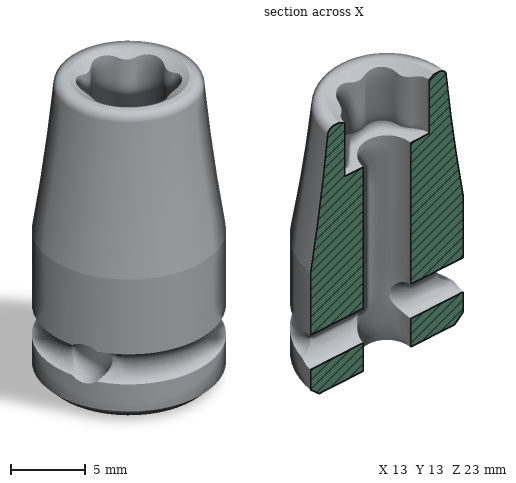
import cadquery as cq
import math

HEIGHT = 23.0
BODY_RADIUS = 6.498
TAPER_START_Z = 11.05
TAPER_END_Z = 22.35
NOSE_RADIUS = 5.05
TAPER_HOLLOW = 0.1
NOSE_FACE_RADIUS = 4.4
BASE_CHAMFER = 0.74

GROOVE_Z = 4.02
GROOVE_HALF_WIDTH = 1.17
GROOVE_DEPTH = 1.01
CROSS_HOLE_RADIUS = 1.5

LOBES = 6
LOBE_TIP_RADIUS = 3.56
VALLEY_RADIUS = 3.08
LOBE_ARC_RADIUS = 1.4
SOCKET_DEPTH = 5.0
MOUTH_RADIUS = 4.05
MOUTH_CONE_ANGLE = 30.0
BORE_RADIUS = 2.0


def polar(radius, degrees):
    angle = math.radians(degrees)
    return (radius * math.cos(angle), radius * math.sin(angle))


def make_body():
    nose_drop = HEIGHT - TAPER_END_Z
    nose_mid = (
        NOSE_FACE_RADIUS + (NOSE_RADIUS - NOSE_FACE_RADIUS) * math.sin(math.pi / 4),
        TAPER_END_Z + nose_drop * math.cos(math.pi / 4),
    )
    taper_mid = (
        (BODY_RADIUS + NOSE_RADIUS) / 2 - TAPER_HOLLOW,
        (TAPER_START_Z + TAPER_END_Z) / 2,
    )
    profile = (
        cq.Workplane("XZ")
        .moveTo(0, 0)
        .lineTo(BODY_RADIUS - BASE_CHAMFER, 0)
        .lineTo(BODY_RADIUS, BASE_CHAMFER)
        .lineTo(BODY_RADIUS, GROOVE_Z - GROOVE_HALF_WIDTH)
        .threePointArc(
            (BODY_RADIUS - GROOVE_DEPTH, GROOVE_Z),
            (BODY_RADIUS, GROOVE_Z + GROOVE_HALF_WIDTH),
        )
        .lineTo(BODY_RADIUS, TAPER_START_Z)
        .threePointArc(taper_mid, (NOSE_RADIUS, TAPER_END_Z))
        .threePointArc(nose_mid, (NOSE_FACE_RADIUS, HEIGHT))
        .lineTo(0, HEIGHT)
        .close()
    )
    return profile.revolve(360, (0, 0, 0), (0, 1, 0))


def make_socket():
    """Tangent lobe and valley arcs alternate around the socket."""
    half_pitch = 180 / LOBES
    lobe_center = LOBE_TIP_RADIUS - LOBE_ARC_RADIUS
    cosine = math.cos(math.radians(half_pitch))
    valley_arc_radius = (
        lobe_center**2 + VALLEY_RADIUS**2 - 2 * lobe_center * VALLEY_RADIUS * cosine - LOBE_ARC_RADIUS**2
    ) / (2 * (LOBE_ARC_RADIUS - VALLEY_RADIUS + lobe_center * cosine))
    valley_center = VALLEY_RADIUS + valley_arc_radius

    share = LOBE_ARC_RADIUS / (LOBE_ARC_RADIUS + valley_arc_radius)
    valley_x, valley_y = polar(valley_center, half_pitch)
    tangent_x = lobe_center + share * (valley_x - lobe_center)
    tangent_y = share * valley_y
    tangent_radius = math.hypot(tangent_x, tangent_y)
    tangent_angle = math.degrees(math.atan2(tangent_y, tangent_x))

    first_lobe = 90
    outline = cq.Workplane("XY", origin=(0, 0, HEIGHT - SOCKET_DEPTH))
    outline = outline.moveTo(*polar(tangent_radius, first_lobe - tangent_angle))
    for index in range(LOBES):
        lobe = first_lobe + index * 2 * half_pitch
        next_lobe = lobe + 2 * half_pitch
        outline = outline.threePointArc(
            polar(LOBE_TIP_RADIUS, lobe), polar(tangent_radius, lobe + tangent_angle)
        ).threePointArc(
            polar(VALLEY_RADIUS, lobe + half_pitch), polar(tangent_radius, next_lobe - tangent_angle)
        )
    return outline.close().extrude(SOCKET_DEPTH)


def make_mouth():
    cone_depth = MOUTH_RADIUS * math.tan(math.radians(MOUTH_CONE_ANGLE))
    return cq.Workplane("XY").add(
        cq.Solid.makeCone(0, MOUTH_RADIUS, cone_depth, pnt=cq.Vector(0, 0, HEIGHT - cone_depth))
    )


def make_bore():
    return cq.Workplane("XY").circle(BORE_RADIUS).extrude(HEIGHT)


def make_cross_hole():
    return (
        cq.Workplane("XZ", origin=(0, 0, GROOVE_Z))
        .circle(CROSS_HOLE_RADIUS)
        .extrude(BODY_RADIUS, both=True)
    )


result = (
    make_body()
    .cut(make_socket())
    .cut(make_mouth())
    .cut(make_bore())
    .cut(make_cross_hole())
)